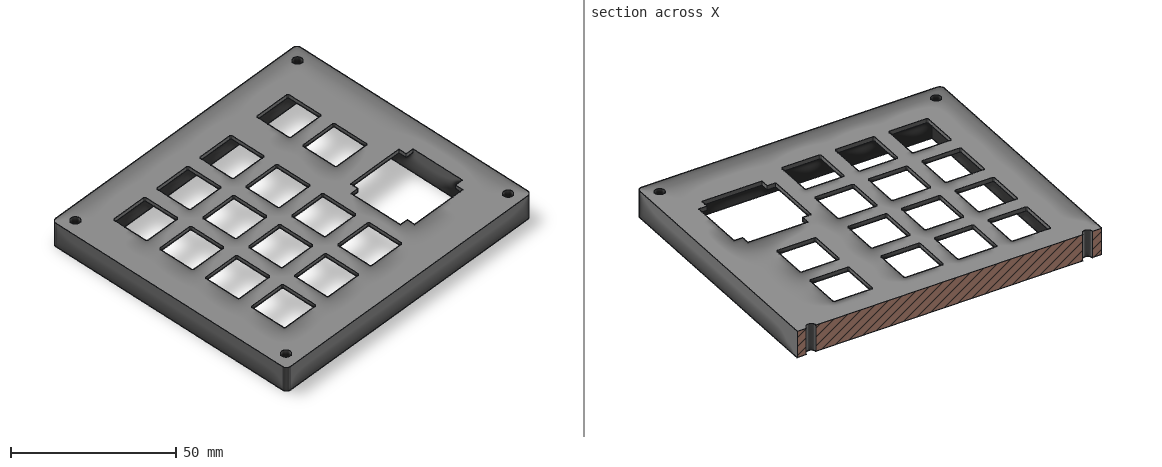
import cadquery as cq

width = 97.4
length = 108.3
height = 9.6
corner_radius = 1.6

screw_diameter = 3.4
screw_inset = 5.0

key_size = 14.0
key_corner_radius = 0.5
key_pitch = 19.1
key_columns = 4
key_rows = 3
key_block_y = -15.1
function_row_y = 29.2
function_columns = 2

display_x = 19.2
display_y = 30.4
display_wide_size = (26.5, 21.3)
display_tall_size = (20.5, 27.4)

web_thickness = 1.5
cavity_width = 75.9
cavity_length = 2 * (display_y + display_tall_size[1] / 2)


def column_x(column):
    """X of a key column; the columns are centred on the case."""
    return (column - (key_columns - 1) / 2) * key_pitch


def row_y(row):
    """Y of a row in the main key block, counted from the front."""
    return key_block_y + (row - (key_rows - 1) / 2) * key_pitch


def through_box(x, y, size_x, size_y):
    """Rectangular block as tall as the case."""
    return cq.Workplane("XY").center(x, y).rect(size_x, size_y).extrude(height)


result = through_box(0, 0, width, length).edges("|Z").fillet(corner_radius)

cavity_depth = height - web_thickness
cavity = cq.Workplane("XY").rect(cavity_width, cavity_length).extrude(cavity_depth)
result = result.cut(cavity)

key_centres = [(column_x(c), row_y(r)) for c in range(key_columns) for r in range(key_rows)]
key_centres += [(column_x(c), function_row_y) for c in range(function_columns)]
for x, y in key_centres:
    opening = through_box(x, y, key_size, key_size).edges("|Z").fillet(key_corner_radius)
    result = result.cut(opening)

for size_x, size_y in (display_wide_size, display_tall_size):
    result = result.cut(through_box(display_x, display_y, size_x, size_y))

screws = (
    cq.Workplane("XY")
    .rect(width - 2 * screw_inset, length - 2 * screw_inset, forConstruction=True)
    .vertices()
    .circle(screw_diameter / 2)
    .extrude(height)
)
result = result.cut(screws)